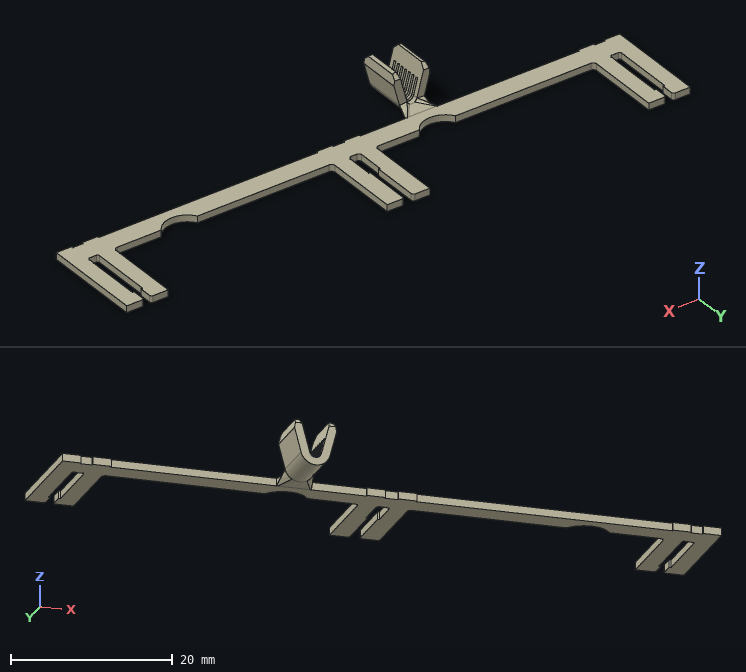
import cadquery as cq
import math

total_length = 85.7
thickness = 1.0
bar_width = 3.2
prong_tip_y = 14.7
prong_width = 2.4
foot_depth = 0.25
root_radius = 0.5
tip_radius = 0.3
edge_tolerance = 0.01

end_slot_width = 1.5
end_mouth_width = 1.0
end_mouth_length = 2.1
end_slot_radius = 0.25
middle_slot_width = 1.7
middle_mouth_width = 1.3
middle_mouth_length = 7.3
middle_slot_radius = 0.4

end_fork_x = total_length / 2 - prong_width - end_slot_width / 2

scallop_width = 5.5
scallop_depth = 1.5
left_scallop_x = -12.7
right_scallop_x = 26.6

crimp_x = left_scallop_x
crimp_height = 6.1
crimp_length = 6.4
neck_length = 2.2
neck_width = 4.5
neck_edge_width = 0.2
neck_floor_angle = 30.0
outer_radius = 2.0
inner_radius = 0.8
leg_lean = 15.0
bevel_start_z = 4.6
tip_width = 0.6
corner_chamfer = 0.8

groove_count = 7
groove_pitch = 0.8
groove_width = 0.3
groove_depth = 0.2
groove_clearance = 0.2
groove_top_z = 3.85

crimp_back_y = -neck_length
crimp_front_y = crimp_back_y - crimp_length
outer_bend = (outer_radius, outer_radius)
inner_bend = (inner_radius, thickness + inner_radius)
wall_angle = 90 - leg_lean


def block(x_min, x_max, y_min, y_max):
    """Sheet-thick rectangle resting on Z = 0."""
    return (
        cq.Workplane("XY")
        .rect(x_max - x_min, y_max - y_min)
        .extrude(thickness)
        .translate(((x_min + x_max) / 2, (y_min + y_max) / 2, 0))
    )


def corner_edges(body, x_places, y):
    """Vertical edges of the body at the given X places along one Y line."""
    selector = None
    for x in x_places:
        box = cq.selectors.BoxSelector(
            (x - edge_tolerance, y - edge_tolerance, -edge_tolerance),
            (x + edge_tolerance, y + edge_tolerance, thickness + edge_tolerance),
            boundingbox=True,
        )
        selector = box if selector is None else selector + box
    return body.edges(selector)


def add_fork(strip, center_x, slot_width, mouth_width, mouth_length, slot_radius):
    """Two prongs with a stepped slot between them and a foot under each prong."""
    slot_half = slot_width / 2
    mouth_half = mouth_width / 2
    fork_half = slot_half + prong_width
    shoulder_y = prong_tip_y - mouth_length

    strip = strip.union(block(center_x - fork_half, center_x + fork_half, -foot_depth, prong_tip_y))
    strip = strip.cut(block(center_x - slot_half, center_x + slot_half, bar_width, shoulder_y))
    strip = strip.cut(block(center_x - mouth_half, center_x + mouth_half, bar_width, prong_tip_y))
    strip = strip.cut(block(center_x - slot_half, center_x + slot_half, -foot_depth, 0))

    slot_sides = [center_x - slot_half, center_x + slot_half]
    strip = corner_edges(strip, slot_sides, bar_width).fillet(slot_radius)
    mouth_sides = [center_x - mouth_half, center_x + mouth_half]
    strip = corner_edges(strip, mouth_sides, prong_tip_y).fillet(tip_radius)
    bar_end = total_length / 2 - root_radius
    roots = [x for x in (center_x - fork_half, center_x + fork_half) if abs(x) < bar_end]
    return corner_edges(strip, roots, bar_width).fillet(root_radius)


def scallop(center_x):
    """Disc whose lower arc bites into the upper bar edge."""
    radius = ((scallop_width / 2) ** 2 + scallop_depth**2) / (2 * scallop_depth)
    center_y = bar_width - scallop_depth + radius
    return cq.Workplane("XY").center(center_x, center_y).circle(radius).extrude(thickness)


def arc_point(bend, angle):
    """Point on a bend arc in XZ, with the angle measured from straight down."""
    radius, center_z = bend
    turn = math.radians(angle)
    return (radius * math.sin(turn), center_z - radius * math.cos(turn))


def leg_point(bend, z):
    """Point at height Z on the leg face that leaves the bend arc tangentially."""
    radius, center_z = bend
    lean = math.radians(leg_lean)
    return (radius / math.cos(lean) + (z - center_z) * math.tan(lean), z)


def mirrored(point):
    """Matching point on the opposite leg."""
    return (-point[0], point[1])


def make_barrel():
    """Open V-shaped crimp barrel with beveled legs and chamfered leg corners."""
    lean = math.radians(leg_lean)
    outer_leg_start = arc_point(outer_bend, wall_angle)
    inner_leg_start = arc_point(inner_bend, wall_angle)
    shoulder = leg_point(outer_bend, bevel_start_z)
    tip_inner = leg_point(inner_bend, crimp_height)
    tip_outer = (
        tip_inner[0] + tip_width * math.cos(lean),
        tip_inner[1] - tip_width * math.sin(lean),
    )

    barrel = (
        cq.Workplane("XZ")
        .moveTo(*mirrored(outer_leg_start))
        .threePointArc((0, 0), outer_leg_start)
        .lineTo(*shoulder)
        .lineTo(*tip_outer)
        .lineTo(*tip_inner)
        .lineTo(*inner_leg_start)
        .threePointArc((0, thickness), mirrored(inner_leg_start))
        .lineTo(*mirrored(tip_inner))
        .lineTo(*mirrored(tip_outer))
        .lineTo(*mirrored(shoulder))
        .close()
        .extrude(crimp_length)
    )
    side_envelope = (
        cq.Workplane("YZ")
        .rect(crimp_length, 2 * crimp_height)
        .extrude(total_length / 2, both=True)
        .edges("|X and >Z")
        .chamfer(corner_chamfer)
        .translate((0, -crimp_length / 2, 0))
    )
    return barrel.intersect(side_envelope).translate((crimp_x, crimp_back_y, 0))


def make_groove(center_y):
    """V-shaped groove that runs down one inner leg face, across the floor and up the other."""
    leg_end = leg_point(inner_bend, groove_top_z)
    bend_end = arc_point(inner_bend, wall_angle)
    path = (
        cq.Workplane("XZ")
        .moveTo(*mirrored(leg_end))
        .lineTo(*mirrored(bend_end))
        .threePointArc((0, thickness), bend_end)
        .lineTo(*leg_end)
    )
    lean = math.radians(leg_lean)
    section = cq.Plane(
        origin=(-leg_end[0], 0, leg_end[1]),
        xDir=(math.cos(lean), 0, math.sin(lean)),
        normal=(math.sin(lean), 0, -math.cos(lean)),
    )
    half = groove_width / 2
    return (
        cq.Workplane(section)
        .moveTo(groove_clearance, -half)
        .lineTo(0, -half)
        .lineTo(-groove_depth, 0)
        .lineTo(0, half)
        .lineTo(groove_clearance, half)
        .close()
        .sweep(path)
        .translate((crimp_x, center_y, 0))
    )


def make_neck():
    """Ruled transition from the flat strip to the curled lower part of the barrel."""

    def wire(points, arc_middles, y):
        """Closed outline through XZ points; a middle point turns a stretch into an arc."""
        vertices = [cq.Vector(crimp_x + x, y, z) for x, z in points]
        edges = []
        for index, middle in enumerate(arc_middles):
            start = vertices[index]
            end = vertices[(index + 1) % len(vertices)]
            if middle is None:
                edges.append(cq.Edge.makeLine(start, end))
            else:
                through = cq.Vector(crimp_x + middle[0], y, middle[1])
                edges.append(cq.Edge.makeThreePointArc(start, through, end))
        return cq.Wire.assembleEdges(edges)

    half = neck_width / 2
    fold = half - neck_edge_width
    flat_places = [-half, -fold, fold, half]
    flat_points = [(x, 0) for x in flat_places] + [(x, thickness) for x in reversed(flat_places)]

    middle_angle = (wall_angle + neck_floor_angle) / 2
    angles = [-wall_angle, -neck_floor_angle, neck_floor_angle, wall_angle]
    middles = [-middle_angle, 0, middle_angle]
    curled_points = [arc_point(outer_bend, a) for a in angles]
    curled_points += [arc_point(inner_bend, a) for a in reversed(angles)]
    arc_middles = [arc_point(outer_bend, a) for a in middles] + [None]
    arc_middles += [arc_point(inner_bend, a) for a in reversed(middles)] + [None]

    flat_wire = wire(flat_points, [None] * len(flat_points), 0)
    curled_wire = wire(curled_points, arc_middles, crimp_back_y)
    return cq.Workplane("XY").newObject([cq.Solid.makeLoft([flat_wire, curled_wire], True)])


result = block(-total_length / 2, total_length / 2, 0, bar_width)
for fork_x in (-end_fork_x, end_fork_x):
    result = add_fork(result, fork_x, end_slot_width, end_mouth_width, end_mouth_length, end_slot_radius)
result = add_fork(
    result, 0, middle_slot_width, middle_mouth_width, middle_mouth_length, middle_slot_radius
)
for scallop_x in (left_scallop_x, right_scallop_x):
    result = result.cut(scallop(scallop_x))

crimp = make_barrel()
crimp_middle_y = (crimp_back_y + crimp_front_y) / 2
for number in range(groove_count):
    offset = (number - (groove_count - 1) / 2) * groove_pitch
    crimp = crimp.cut(make_groove(crimp_middle_y + offset))
result = result.union(make_neck()).union(crimp)